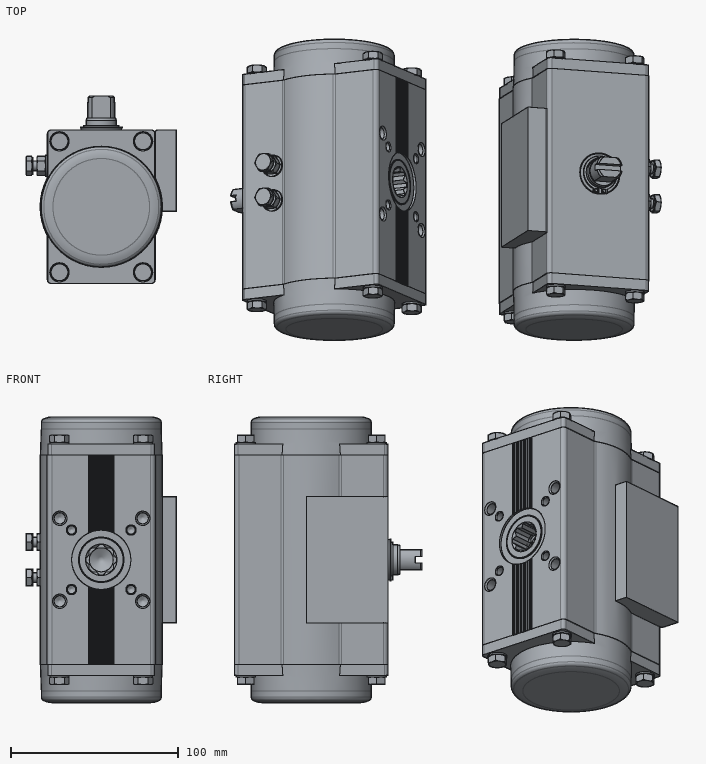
import cadquery as cq
import math


total_length = 170.4

housing_length = 124.7
housing_half_width = 32.2
housing_half_depth = 45.8
housing_corner_radius = 2.7
barrel_radius = 36.5
barrel_blend_radius = 3.4

pad_reach = 44.8
pad_bottom_y = -2.7
pad_length = 75.3
pad_edge_radius = 1.5

serration_pitch = 1.0
serration_depth = 0.5
serration_count = 15

large_hole = {"offset": 24.7, "drill": 6.6, "rim": 8.5, "depth": 12.0}
small_hole = {"offset": 17.7, "drill": 5.0, "rim": 6.1, "depth": 9.4}
drill_point_angle = 118.0

flange_recess_diameter = 35.3
flange_recess_depth = 1.5

cap_half_width = 31.9
cap_corner_radius = 2.2
cap_plate_thickness = 6.5
dome_base_radius = 36.3
dome_radius = 35.8
dome_draft_height = 15.7
dome_wall_height = 19.5
crown_edge_radius = 34.3
crown_edge_height = 21.6
crown_flat_radius = 28.8

hex_across_flats = 10.0
hex_chamfer_angle = 30.0
bolt_spacing_x = 49.8
bolt_spacing_y = 78.0
bolt_head_height = 4.5
bolt_flange_diameter = 11.5
bolt_flange_height = 1.0

screw_y = 24.4
screw_spacing = 21.1
screw_tip_x = -44.8
screw_head_height = 3.5
screw_head_collar_height = 0.5
screw_shank_diameter = 6.0
nut_height = 5.1
nut_flange_diameter = 13.0
nut_flange_height = 1.0

shaft_end_diameter = 27.1
shaft_end_chamfer = 0.5
shaft_end_length = 13.6
shaft_diameter = 18.0
shaft_shoulder_y = 53.0
shaft_shoulder_taper = 1.5
shaft_shoulder_diameter = 17.0
shaft_tip_y = 66.1
shaft_tip_diameter = 16.2
shaft_tip_chamfer = 1.0
shaft_across_flats = 12.1
tip_slot_width = 3.7
tip_slot_depth = 4.1
socket_square = 14.3
socket_diameter = 18.0
socket_rim_diameter = 18.7
socket_depth = 15.3

washer_diameter = 25.0
washer_thickness = 1.7
washer_foot_diameter = 24.2
washer_foot_height = 1.0

circlip_diameter = 21.0
circlip_thickness = 1.0
circlip_ear_reach = 12.1
circlip_ear_width = 8.5
circlip_gap = 2.0
circlip_hole_diameter = 2.0
circlip_hole_spacing = 5.1

housing_top_z = housing_length / 2
mount_face_y = -housing_half_depth
recess_floor_y = mount_face_y + flange_recess_depth
back_face_y = housing_half_depth


def cylinder_y(diameter, y_start, length):
    """Cylinder about the Y axis, running from y_start toward +Y."""
    return cq.Workplane("XZ", origin=(0, y_start, 0)).circle(diameter / 2).extrude(-length)


def filleted_block(half_width, half_depth, height, radius):
    """Block standing on Z = 0 with rounded vertical edges."""
    block = cq.Workplane("XY").rect(2 * half_width, 2 * half_depth).extrude(height)
    return block.edges("|Z").fillet(radius)


def hex_prism(height):
    """Hexagon on Z = 0 with two corners on the X axis, its corners bevelled at both ends."""
    flat_radius = hex_across_flats / 2
    corner_radius = flat_radius / math.cos(math.radians(30))
    bevel = (corner_radius - flat_radius) * math.tan(math.radians(hex_chamfer_angle))
    prism = cq.Workplane("XY").polygon(6, 2 * corner_radius).extrude(height)
    envelope = cq.Workplane("XY").circle(corner_radius).extrude(height)
    envelope = envelope.faces("|Z").edges().chamfer(bevel, corner_radius - flat_radius)
    return prism.intersect(envelope)


def tapped_hole(hole, x, z):
    """Countersunk blind hole in the mounting face, with a conical bottom."""
    drill_radius = hole["drill"] / 2
    rim_radius = hole["rim"] / 2
    rim_depth = rim_radius - drill_radius
    point_depth = drill_radius / math.tan(math.radians(drill_point_angle / 2))
    half_section = (
        cq.Workplane("XY")
        .moveTo(0, 0)
        .lineTo(rim_radius, 0)
        .lineTo(drill_radius, rim_depth)
        .lineTo(drill_radius, hole["depth"])
        .lineTo(0, hole["depth"] + point_depth)
        .close()
    )
    return half_section.revolve(360, (0, 0), (0, 1)).translate((x, mount_face_y, z))


def serrations():
    """Side-by-side V grooves running the full length of the mounting face."""
    first_x = -serration_count * serration_pitch / 2
    outline = cq.Workplane("XY").moveTo(first_x, mount_face_y)
    for index in range(serration_count):
        groove_x = first_x + index * serration_pitch
        outline = outline.lineTo(groove_x + serration_pitch / 2, mount_face_y + serration_depth)
        outline = outline.lineTo(groove_x + serration_pitch, mount_face_y)
    clear_y = mount_face_y - serration_depth
    outline = outline.lineTo(-first_x, clear_y).lineTo(first_x, clear_y).close()
    return outline.extrude(housing_top_z, both=True)


def interface_pad():
    """Raised pad on the +X side, its inner back edge rounded to leave a V notch."""
    pad_width = pad_reach - housing_half_width
    pad_depth = back_face_y - pad_bottom_y
    pad = cq.Workplane("XY").box(pad_width, pad_depth, pad_length, centered=(False, False, True))
    pad = pad.edges("|Z and <X and >Y").fillet(pad_edge_radius)
    return pad.translate((housing_half_width, pad_bottom_y, 0))


def make_housing():
    body = filleted_block(housing_half_width, housing_half_depth, housing_length, housing_corner_radius)
    body = body.union(cq.Workplane("XY").circle(barrel_radius).extrude(housing_length))
    corner_y = math.sqrt(barrel_radius**2 - housing_half_width**2)
    for side in (-1, 1):
        for end in (-1, 1):
            seam_point = (side * housing_half_width, end * corner_y, housing_top_z)
            seam = body.edges(cq.selectors.NearestToPointSelector(seam_point))
            body = seam.fillet(barrel_blend_radius)
    body = body.translate((0, 0, -housing_top_z))
    body = body.union(interface_pad())
    body = body.cut(serrations())
    for hole in (large_hole, small_hole):
        for side in (-1, 1):
            for end in (-1, 1):
                body = body.cut(tapped_hole(hole, side * hole["offset"], end * hole["offset"]))
    body = body.cut(cylinder_y(flange_recess_diameter, mount_face_y - serration_depth,
                               flange_recess_depth + serration_depth))
    body = body.cut(cylinder_y(shaft_end_diameter, recess_floor_y, shaft_end_length))
    return body.cut(cylinder_y(shaft_diameter, recess_floor_y, back_face_y - recess_floor_y))


def cap_dome():
    """Slightly tapered round cover with a gently curved crown, standing on Z = 0."""
    dome_height = total_length / 2 - housing_top_z
    crown_mid_radius = (crown_flat_radius + crown_edge_radius) / 2
    crown_mid_height = dome_height - (dome_height - crown_edge_height) / 4
    return (
        cq.Workplane("XZ")
        .moveTo(0, 0)
        .lineTo(dome_base_radius, 0)
        .lineTo(dome_radius, dome_draft_height)
        .lineTo(dome_radius, dome_wall_height)
        .tangentArcPoint((crown_edge_radius, crown_edge_height), relative=False)
        .threePointArc((crown_mid_radius, crown_mid_height), (crown_flat_radius, dome_height))
        .lineTo(0, dome_height)
        .close()
        .revolve(360, (0, 0), (0, 1))
    )


def cap_bolt():
    """Head and flange of a cap bolt, standing on Z = 0."""
    flange = cq.Workplane("XY").circle(bolt_flange_diameter / 2).extrude(bolt_flange_height)
    head = hex_prism(bolt_head_height)
    return flange.union(head.translate((0, 0, bolt_flange_height)))


def make_cap():
    """End cap for the +Z end, with its four bolt heads."""
    cap = filleted_block(cap_half_width, housing_half_depth, cap_plate_thickness, cap_corner_radius)
    cap = cap.union(cap_dome())
    bolt = cap_bolt().translate((0, 0, cap_plate_thickness))
    for side in (-1, 1):
        for end in (-1, 1):
            cap = cap.union(bolt.translate((side * bolt_spacing_x / 2, end * bolt_spacing_y / 2, 0)))
    return cap.translate((0, 0, housing_top_z))


def drive_socket():
    """Countersunk double-square socket, its points cut back to a circle, ending in a cone."""
    plane = cq.Workplane("XZ", origin=(0, recess_floor_y, 0))
    square = plane.rect(socket_square, socket_square).extrude(-socket_depth)
    star = square.union(square.rotate((0, 0, 0), (0, 1, 0), 45))
    star = star.intersect(cylinder_y(socket_diameter, recess_floor_y, socket_depth))
    inward = cq.Vector(0, 1, 0)
    rim_radius = socket_rim_diameter / 2
    countersink = cq.Solid.makeCone(rim_radius, 0, rim_radius, cq.Vector(0, recess_floor_y, 0), inward)
    cone_radius = socket_square / 2
    cone_height = cone_radius / math.tan(math.radians(drill_point_angle / 2))
    cone = cq.Solid.makeCone(cone_radius, 0, cone_height,
                             cq.Vector(0, recess_floor_y + socket_depth, 0), inward)
    return star.union(cq.Workplane(countersink)).union(cq.Workplane(cone))


def shaft_tip():
    """Round tip with two flats facing +Z and -Z and a driver slot across its end."""
    tip_length = shaft_tip_y - shaft_shoulder_y
    tip = cylinder_y(shaft_tip_diameter, shaft_shoulder_y, tip_length)
    tip = tip.faces(">Y").chamfer(shaft_tip_chamfer)
    flats = cq.Workplane("XY").box(shaft_tip_diameter, tip_length, shaft_across_flats)
    tip = tip.intersect(flats.translate((0, shaft_shoulder_y + tip_length / 2, 0)))
    slot = cq.Workplane("XY").box(shaft_tip_diameter, tip_slot_depth, tip_slot_width)
    return tip.cut(slot.translate((0, shaft_tip_y - tip_slot_depth / 2, 0)))


def make_shaft():
    end = cylinder_y(shaft_end_diameter, recess_floor_y, shaft_end_length)
    end = end.faces("<Y").chamfer(shaft_end_chamfer)
    stem = cylinder_y(shaft_diameter, recess_floor_y, shaft_shoulder_y - recess_floor_y)
    shoulder_inset = (shaft_diameter - shaft_shoulder_diameter) / 2
    stem = stem.faces(">Y").chamfer(shaft_shoulder_taper, shoulder_inset)
    return end.union(stem).union(shaft_tip()).cut(drive_socket())


def make_washer():
    """Washer with a slightly smaller foot against the housing."""
    foot = cylinder_y(washer_foot_diameter, back_face_y, washer_foot_height)
    rim_height = washer_thickness - washer_foot_height
    washer = foot.union(cylinder_y(washer_diameter, back_face_y + washer_foot_height, rim_height))
    return washer.cut(cylinder_y(shaft_diameter, back_face_y, washer_thickness))


def make_circlip():
    """Open ring around the shaft with two drilled ears beside the gap on its -Z side."""
    base_y = back_face_y + washer_thickness
    plane = cq.Workplane("XZ", origin=(0, base_y, 0))
    ears = plane.center(0, -circlip_ear_reach / 2).rect(circlip_ear_width, circlip_ear_reach)
    clip = cylinder_y(circlip_diameter, base_y, circlip_thickness)
    clip = clip.union(ears.extrude(-circlip_thickness))
    clip = clip.cut(cylinder_y(shaft_diameter, base_y, circlip_thickness))
    gap = plane.center(0, -circlip_ear_reach / 2).rect(circlip_gap, circlip_ear_reach)
    clip = clip.cut(gap.extrude(-circlip_thickness))
    hole_z = -(shaft_diameter / 2 + circlip_ear_reach) / 2
    for side in (-1, 1):
        hole = cylinder_y(circlip_hole_diameter, base_y, circlip_thickness)
        clip = clip.cut(hole.translate((side * circlip_hole_spacing / 2, 0, hole_z)))
    return clip


def make_stop_screw(z):
    """Stop screw with its flanged lock nut, its head pointing toward -X from the housing side."""
    screw_length = -screw_tip_x - housing_half_width
    screw = cq.Workplane("XY").circle(screw_shank_diameter / 2).extrude(screw_length)
    screw = screw.union(cq.Workplane("XY").circle(nut_flange_diameter / 2).extrude(nut_flange_height))
    nut = hex_prism(nut_height)
    screw = screw.union(nut.translate((0, 0, nut_flange_height)))
    head_base = screw_length - screw_head_height
    screw = screw.union(hex_prism(screw_head_height).translate((0, 0, head_base)))
    collar = cq.Workplane("XY").circle(hex_across_flats / 2).extrude(screw_head_collar_height)
    screw = screw.union(collar.translate((0, 0, head_base - screw_head_collar_height)))
    screw = screw.rotate((0, 0, 0), (0, 0, 1), 90).rotate((0, 0, 0), (0, 1, 0), -90)
    return screw.translate((-housing_half_width, screw_y, z))


housing = make_housing()
top_cap = make_cap()
bottom_cap = top_cap.mirror("XY")
shaft = make_shaft()
washer = make_washer()
circlip = make_circlip()
stop_screws = [make_stop_screw(side * screw_spacing / 2) for side in (-1, 1)]

result = cq.Compound.makeCompound([
    housing.val(),
    top_cap.val(),
    bottom_cap.val(),
    shaft.val(),
    washer.val(),
    circlip.val(),
    *[screw.val() for screw in stop_screws],
])